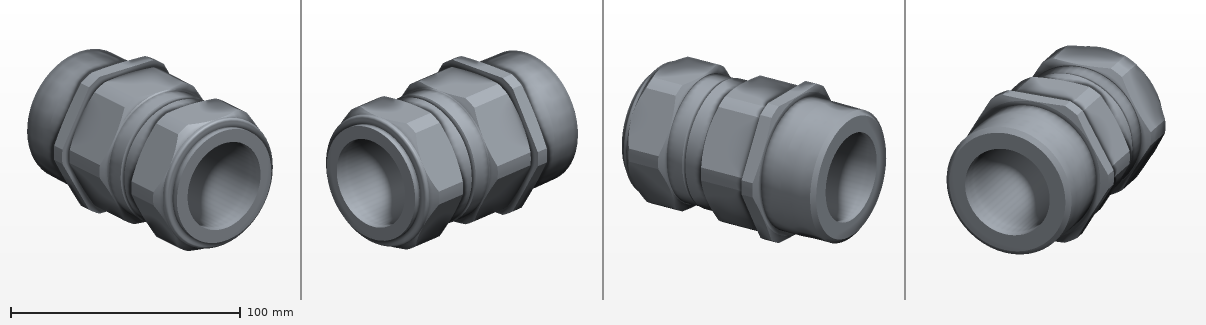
import cadquery as cq
import math

bore_radius = 20.25
total_length = 102.6

spigot_face_radius = 27.75
spigot_tip_radius = 29.9
spigot_radius = 30.15
spigot_chamfer_length = 1.75
spigot_taper_end = 17.0

flange_start = 27.15
flange_end = 33.8
flange_across_flats = 65.0
flange_corner_radius = 71.47 / 2
flange_face_radius = 32.2
flange_chamfer_length = 0.85

hex_across_flats = 60.0
hex_flat_radius = hex_across_flats / 2
hex_corner_radius = 33.0
body_end = 58.5
body_front_chamfer = 1.7
body_rear_chamfer = 1.75
nut_start = 77.15
nut_end = 97.5
nut_face_radius = 29.4
nut_front_chamfer = 1.95
nut_rear_chamfer = hex_corner_radius - hex_flat_radius

body_neck_radius = 29.5
body_neck_start = 59.1
body_neck_end = 67.15
groove_radius = 27.7
groove_start = 67.9
groove_end = 68.2
nut_neck_radius = 29.0
nut_neck_chamfer = 0.9

collar_end = 99.6
collar_fillet = 1.1
ring_radius = 26.2


def revolve_profile(points):
    """Turn a closed (x, radius) outline about the X axis."""
    return cq.Workplane("XZ").polyline(points).close().revolve(360, (0, 0, 0), (1, 0, 0))


def cylinder(start, end, radius):
    return cq.Workplane("YZ", origin=(start, 0, 0)).circle(radius).extrude(end - start)


def chamfered_hexagon(start, end, across_flats, corner_radius, front, rear=None):
    """Hexagon with flats on +Z and -Z, its corners turned down to a coned blank.

    front and rear are (chamfer length, face radius) of the two end cones;
    without rear, that end is left square.
    """
    across_corners = across_flats / math.cos(math.pi / 6)
    prism = cq.Workplane("YZ", origin=(start, 0, 0)).polygon(6, across_corners).extrude(end - start)
    front_length, front_radius = front
    outline = [
        (start, 0),
        (start, front_radius),
        (start + front_length, corner_radius),
    ]
    if rear is None:
        outline.append((end, corner_radius))
    else:
        rear_length, rear_radius = rear
        outline.append((end - rear_length, corner_radius))
        outline.append((end, rear_radius))
    outline.append((end, 0))
    return prism.intersect(revolve_profile(outline))


def make_spigot():
    return revolve_profile([
        (0, 0),
        (0, spigot_face_radius),
        (spigot_chamfer_length, spigot_tip_radius),
        (spigot_taper_end, spigot_radius),
        (flange_start, spigot_radius),
        (flange_start, 0),
    ])


def make_flange():
    return chamfered_hexagon(
        flange_start, flange_end, flange_across_flats, flange_corner_radius,
        front=(flange_chamfer_length, flange_face_radius),
    )


def make_body():
    return chamfered_hexagon(
        flange_end, body_end, hex_across_flats, hex_corner_radius,
        front=(body_front_chamfer, hex_flat_radius),
        rear=(body_rear_chamfer, hex_flat_radius),
    )


def make_necks():
    return revolve_profile([
        (body_end, 0),
        (body_end, hex_flat_radius),
        (body_neck_start, body_neck_radius),
        (body_neck_end, body_neck_radius),
        (groove_start, groove_radius),
        (groove_end, groove_radius),
        (groove_end + nut_neck_chamfer, nut_neck_radius),
        (nut_start, nut_neck_radius),
        (nut_start, 0),
    ])


def make_nut():
    return chamfered_hexagon(
        nut_start, nut_end, hex_across_flats, hex_corner_radius,
        front=(nut_front_chamfer, nut_face_radius),
        rear=(nut_rear_chamfer, hex_flat_radius),
    )


def make_collar():
    return cylinder(nut_end, collar_end, hex_flat_radius).faces(">X").edges().fillet(collar_fillet)


gland = make_spigot()
for section in (make_flange(), make_body(), make_necks(), make_nut(), make_collar()):
    gland = gland.union(section)
gland = gland.union(cylinder(collar_end, total_length, ring_radius))

result = gland.cut(cylinder(0, total_length, bore_radius))